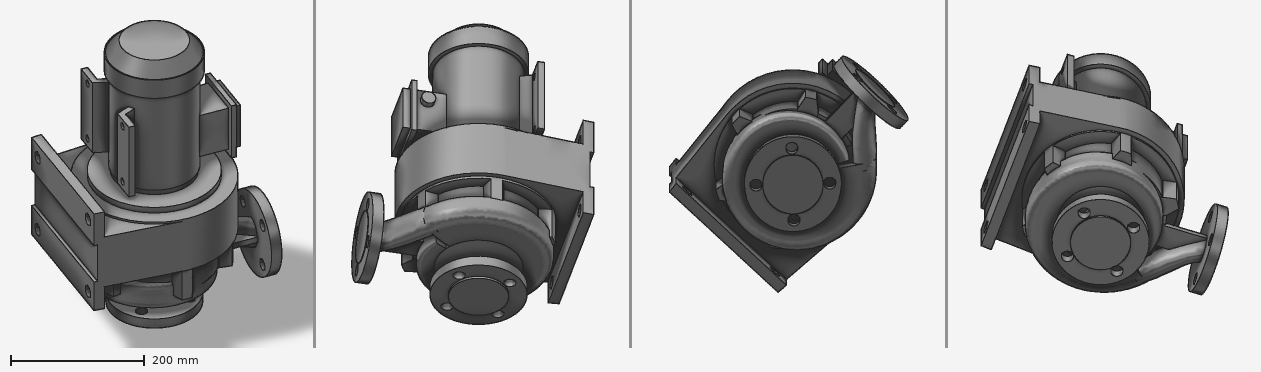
import cadquery as cq
import math

JOINT_Z = 230.5

MOTOR_FLANGE_RADIUS = 100.0
MOTOR_FLANGE_TOP = 240.5
NECK_RADIUS = 66.0
NECK_TOP = 250.0
BODY_RADIUS = 68.5
COWL_RADIUS = 75.0
COWL_BOTTOM = 420.5
COWL_TOP = 453.2
CONE_BASE_RADIUS = 73.0
CONE_TOP_RADIUS = 52.5
MOTOR_TOP = 474.5

FOOT_BOTTOM = 267.0
FOOT_TOP = 393.0
FOOT_OUTER_X = 85.5
FOOT_BACK_Y = -70.5
FOOT_FACE_Y = -81.0
FOOT_BEND_BACK_X = 51.5
FOOT_BEND_FACE_X = 45.0
FOOT_WEB_RUN = 16.5
FOOT_WEB_RISE = 38.0
FOOT_HOLE_RADIUS = 5.45
FOOT_HOLE_X = 62.5
FOOT_HOLE_LEVELS = (281.0, 380.5)

BOX_WIDTH = 73.0
BOX_END_Y = 125.0
BOX_BOTTOM = 270.5
BOX_TOP = 344.5
LID_OVERHANG = 10.0
LID_BACK_Y = 105.5
LID_THICKNESS = 8.0
GLAND_RADIUS = 10.7
GLAND_LENGTH = 10.0
GLAND_Y = 87.5
GLAND_Z = 326.0

HOUSING_RADIUS = 250.0 / 2
HOUSING_BOTTOM = 137.0
ADAPTER_RADIUS = 117.5
ADAPTER_BOTTOM = 133.0

BRACKET_TOP = 227.5
BRACKET_TANGENT_Y = -11.5
PLATE_BACK_Y = -134.0
RECESS_Y = -144.8
PLATE_FACE_Y = -150.5
PLATE_BOTTOM = 98.0
PLATE_TOP = 272.5
RECESS_BOTTOM = 149.5
RECESS_TOP = 215.0
PLATE_HOLE_RADIUS = 9.5
PLATE_HOLE_X = 90.0
PLATE_HOLE_LEVELS = (119.0, 249.0)

HUB_RADIUS = 98.2
RIB_COUNT = 6
RIB_TIP_WIDTH = 17.0
RIB_ROOT_WIDTH = 31.5
RIB_BOTTOM = 80.0

VOLUTE_BOTTOM = 55.5
VOLUTE_TOP = 106.0
VOLUTE_MID = (VOLUTE_BOTTOM + VOLUTE_TOP) / 2
VOLUTE_INNER_RADIUS = 57.0
VOLUTE_RADIUS_AT_X = 100.5
VOLUTE_GROWTH = 9.75
VOLUTE_CORNER_AT_X = 11.5
VOLUTE_CORNER_GROWTH = 4.0
VOLUTE_START = -120.0
VOLUTE_END = 234.0
VOLUTE_SECTIONS = 13

THROAT_RADIUS = 36.0
SUCTION_CONE_RADIUS = 66.5
SUCTION_CONE_END = (39.0, 42.5)
THROAT_TOP = 36.0
THROAT_BOTTOM = 28.0
SUCTION_FLANGE_RADIUS = 72.5
SUCTION_FLANGE_BOTTOM = 4.0
SUCTION_FLANGE_TOP = 20.5
SUCTION_FACE_RADIUS = 45.0
SUCTION_BOLT_RADIUS = 55.0

DISCHARGE_FACE_Y = 179.5
DISCHARGE_FLANGE_FRONT = 178.5
DISCHARGE_FLANGE_BACK = 161.5
DISCHARGE_FLANGE_RADIUS = 68.5
DISCHARGE_FACE_RADIUS = 40.0
DISCHARGE_BOLT_RADIUS = 50.0
PIPE_STATIONS = (
    (-70.5, 79.3, 45, 15.0),
    (-28.5, 125.0, 45, 16.5),
    (-14.0, 142.5, 55, 15.0),
    (-2.0, 163.5, 90, 20.5),
)
PIPE_HALF_HEIGHT = (VOLUTE_TOP - VOLUTE_BOTTOM) / 2
WEB_EDGE_X = 19.5
WEB_INNER_X = -16.5
WEB_ROOT_Y = 57.0
WEB_THICKNESS = 9.5

BOLT_COUNT = 4
BOLT_HOLE_RADIUS = 9.0


def cylinder(radius, bottom, top):
    """Upright cylinder on the shaft axis."""
    return cq.Workplane("XY").workplane(offset=bottom).circle(radius).extrude(top - bottom)


def block(x_range, y_range, z_range):
    """Box given by its limits along each axis."""
    size = [high - low for low, high in (x_range, y_range, z_range)]
    corner = (x_range[0], y_range[0], z_range[0])
    return cq.Workplane("XY").box(*size, centered=False).translate(corner)


def rod_along_y(radius, x, z, y_start, y_end):
    """Cylinder parallel to Y."""
    axis_start = cq.Vector(x, y_start, z)
    return cq.Workplane(cq.Solid.makeCylinder(radius, y_end - y_start, axis_start, cq.Vector(0, 1, 0)))


def motor_foot():
    """Bent foot on the +X side: a mounting pad and a slanted web rooted in the motor body."""
    outline = [
        (FOOT_OUTER_X, FOOT_FACE_Y),
        (FOOT_OUTER_X, FOOT_BACK_Y),
        (FOOT_BEND_BACK_X, FOOT_BACK_Y),
        (FOOT_BEND_BACK_X - FOOT_WEB_RUN, FOOT_BACK_Y + FOOT_WEB_RISE),
        (FOOT_BEND_FACE_X - FOOT_WEB_RUN, FOOT_FACE_Y + FOOT_WEB_RISE),
        (FOOT_BEND_FACE_X, FOOT_FACE_Y),
    ]
    foot = cq.Workplane("XY").workplane(offset=FOOT_BOTTOM).polyline(outline).close()
    foot = foot.extrude(FOOT_TOP - FOOT_BOTTOM)
    for level in FOOT_HOLE_LEVELS:
        foot = foot.cut(rod_along_y(FOOT_HOLE_RADIUS, FOOT_HOLE_X, level, FOOT_FACE_Y, FOOT_BACK_Y))
    return foot


def terminal_box():
    """Terminal box on the +Y side with its lid plate and a cable gland."""
    half = BOX_WIDTH / 2
    lid_half = half + LID_OVERHANG
    box = block((-half, half), (0, BOX_END_Y), (BOX_BOTTOM, BOX_TOP))
    lid = block(
        (-lid_half, lid_half),
        (LID_BACK_Y, LID_BACK_Y + LID_THICKNESS),
        (BOX_BOTTOM - LID_OVERHANG, BOX_TOP + LID_OVERHANG),
    )
    gland = cq.Workplane("YZ").workplane(offset=-half - GLAND_LENGTH).center(GLAND_Y, GLAND_Z)
    gland = gland.circle(GLAND_RADIUS).extrude(GLAND_LENGTH)
    return box.union(lid).union(gland)


def build_motor():
    half_profile = [
        (0, JOINT_Z),
        (MOTOR_FLANGE_RADIUS, JOINT_Z),
        (MOTOR_FLANGE_RADIUS, MOTOR_FLANGE_TOP),
        (NECK_RADIUS, MOTOR_FLANGE_TOP),
        (NECK_RADIUS, NECK_TOP),
        (BODY_RADIUS, NECK_TOP),
        (BODY_RADIUS, COWL_BOTTOM),
        (COWL_RADIUS, COWL_BOTTOM),
        (COWL_RADIUS, COWL_TOP),
        (CONE_BASE_RADIUS, COWL_TOP),
        (CONE_TOP_RADIUS, MOTOR_TOP),
        (0, MOTOR_TOP),
    ]
    motor = cq.Workplane("XZ").polyline(half_profile).close().revolve(360, (0, 0, 0), (0, 1, 0))
    foot = motor_foot()
    return motor.union(foot).union(foot.mirror("YZ")).union(terminal_box())


def mounting_bracket():
    """Block with sides tangent to the housing, ending in a recessed mounting plate with four holes."""
    tangent_x = math.sqrt(HOUSING_RADIUS**2 - BRACKET_TANGENT_Y**2)
    taper = -BRACKET_TANGENT_Y / tangent_x

    def half_width(y):
        return tangent_x - taper * (BRACKET_TANGENT_Y - y)

    def tapered_block(y_front, y_back, bottom, top):
        outline = [
            (-half_width(y_front), y_front),
            (half_width(y_front), y_front),
            (half_width(y_back), y_back),
            (-half_width(y_back), y_back),
        ]
        base = cq.Workplane("XY").workplane(offset=bottom)
        return base.polyline(outline).close().extrude(top - bottom)

    bracket = tapered_block(RECESS_Y, BRACKET_TANGENT_Y, HOUSING_BOTTOM, BRACKET_TOP)
    plate = tapered_block(PLATE_FACE_Y, PLATE_BACK_Y, PLATE_BOTTOM, PLATE_TOP)
    recess = block(
        (-HOUSING_RADIUS, HOUSING_RADIUS), (PLATE_FACE_Y, RECESS_Y), (RECESS_BOTTOM, RECESS_TOP)
    )
    plate = plate.cut(recess)
    for x in (-PLATE_HOLE_X, PLATE_HOLE_X):
        for level in PLATE_HOLE_LEVELS:
            plate = plate.cut(rod_along_y(PLATE_HOLE_RADIUS, x, level, PLATE_FACE_Y, PLATE_BACK_Y))
    return bracket.union(plate)


def lantern_ribs():
    """Tapered radial ribs that tie the volute to the adapter disc."""
    tip = RIB_TIP_WIDTH / 2
    root = RIB_ROOT_WIDTH / 2
    tip_x = math.sqrt(ADAPTER_RADIUS**2 - tip**2)
    rib = (
        cq.Workplane("XY")
        .workplane(offset=RIB_BOTTOM)
        .moveTo(0, -root)
        .lineTo(HUB_RADIUS, -root)
        .lineTo(tip_x, -tip)
        .threePointArc((ADAPTER_RADIUS, 0), (tip_x, tip))
        .lineTo(HUB_RADIUS, root)
        .lineTo(0, root)
        .close()
        .extrude(HOUSING_BOTTOM - RIB_BOTTOM)
    )
    ribs = rib
    for index in range(1, RIB_COUNT):
        ribs = ribs.union(rib.rotate((0, 0, 0), (0, 0, 1), index * 360 / RIB_COUNT))
    return ribs


def volute_section(clockwise_angle):
    """Closed section with a straight inner side and rounded outer corners, at one angle round the shaft."""
    quarters = clockwise_angle / 90
    outer = VOLUTE_RADIUS_AT_X + VOLUTE_GROWTH * quarters
    corner = VOLUTE_CORNER_AT_X + VOLUTE_CORNER_GROWTH * quarters
    inset = corner * (1 - math.sqrt(0.5))
    angle = math.radians(-clockwise_angle)
    plane = cq.Plane(
        origin=(0, 0, 0),
        xDir=(math.cos(angle), math.sin(angle), 0),
        normal=(math.sin(angle), -math.cos(angle), 0),
    )
    section = (
        cq.Workplane(plane)
        .moveTo(VOLUTE_INNER_RADIUS, VOLUTE_BOTTOM)
        .lineTo(outer - corner, VOLUTE_BOTTOM)
        .threePointArc((outer - inset, VOLUTE_BOTTOM + inset), (outer, VOLUTE_BOTTOM + corner))
        .lineTo(outer, VOLUTE_TOP - corner)
        .threePointArc((outer - inset, VOLUTE_TOP - inset), (outer - corner, VOLUTE_TOP))
        .lineTo(VOLUTE_INNER_RADIUS, VOLUTE_TOP)
        .close()
    )
    return section.val()


def volute():
    step = (VOLUTE_END - VOLUTE_START) / (VOLUTE_SECTIONS - 1)
    sections = [volute_section(VOLUTE_START + index * step) for index in range(VOLUTE_SECTIONS)]
    return cq.Workplane(cq.Solid.makeLoft(sections))


def bolt_holes(workplane, bolt_radius, depth):
    """Drills through a flange, staggered half a pitch from the flange axes."""
    return workplane.polarArray(bolt_radius, 45, 360, BOLT_COUNT).circle(BOLT_HOLE_RADIUS).extrude(depth)


def suction_branch():
    """Hub, cone, throat and suction flange as one turned shape."""
    bend = math.sqrt(0.5)
    flare = THROAT_BOTTOM - SUCTION_FLANGE_TOP
    flare_middle = (
        THROAT_RADIUS + flare * (1 - bend),
        SUCTION_FLANGE_TOP + flare * (1 - bend),
    )
    branch = (
        cq.Workplane("XZ")
        .moveTo(0, 0)
        .lineTo(SUCTION_FACE_RADIUS, 0)
        .lineTo(SUCTION_FACE_RADIUS, SUCTION_FLANGE_BOTTOM)
        .lineTo(SUCTION_FLANGE_RADIUS, SUCTION_FLANGE_BOTTOM)
        .lineTo(SUCTION_FLANGE_RADIUS, SUCTION_FLANGE_TOP)
        .lineTo(THROAT_RADIUS + flare, SUCTION_FLANGE_TOP)
        .threePointArc(flare_middle, (THROAT_RADIUS, THROAT_BOTTOM))
        .lineTo(THROAT_RADIUS, THROAT_TOP)
        .tangentArcPoint(SUCTION_CONE_END, relative=False)
        .lineTo(SUCTION_CONE_RADIUS, VOLUTE_BOTTOM)
        .lineTo(SUCTION_CONE_RADIUS, VOLUTE_MID)
        .lineTo(HUB_RADIUS, VOLUTE_MID)
        .lineTo(HUB_RADIUS, HOUSING_BOTTOM)
        .lineTo(0, HOUSING_BOTTOM)
        .close()
        .revolve(360, (0, 0, 0), (0, 1, 0))
    )
    base = cq.Workplane("XY").workplane(offset=SUCTION_FLANGE_BOTTOM)
    return branch.cut(bolt_holes(base, SUCTION_BOLT_RADIUS, SUCTION_FLANGE_TOP - SUCTION_FLANGE_BOTTOM))


def pipe_section(x, y, heading, half_width):
    """Upright oval across the pipe at one station."""
    angle = math.radians(heading)
    return cq.Wire.makeEllipse(
        PIPE_HALF_HEIGHT,
        half_width,
        center=cq.Vector(x, y, VOLUTE_MID),
        normal=cq.Vector(math.cos(angle), math.sin(angle), 0),
        xDir=cq.Vector(0, 0, 1),
    )


def discharge_branch():
    """Curved oval pipe from the volute to the discharge flange, stiffened by a flat web."""
    sections = [pipe_section(*station) for station in PIPE_STATIONS]
    pipe = cq.Workplane(cq.Solid.makeLoft(sections))
    flange = rod_along_y(
        DISCHARGE_FLANGE_RADIUS, 0, VOLUTE_MID, DISCHARGE_FLANGE_BACK, DISCHARGE_FLANGE_FRONT
    )
    raised_face = rod_along_y(
        DISCHARGE_FACE_RADIUS, 0, VOLUTE_MID, DISCHARGE_FLANGE_FRONT, DISCHARGE_FACE_Y
    )
    back = cq.Workplane("XZ", origin=(0, DISCHARGE_FLANGE_BACK, VOLUTE_MID))
    depth = DISCHARGE_FLANGE_FRONT - DISCHARGE_FLANGE_BACK
    flange = flange.cut(bolt_holes(back, DISCHARGE_BOLT_RADIUS, -depth))
    web = block(
        (WEB_INNER_X, WEB_EDGE_X),
        (WEB_ROOT_Y, DISCHARGE_FLANGE_BACK),
        (VOLUTE_MID - WEB_THICKNESS / 2, VOLUTE_MID + WEB_THICKNESS / 2),
    )
    return pipe.union(flange).union(raised_face).union(web)


def build_pump():
    housing = cylinder(HOUSING_RADIUS, HOUSING_BOTTOM, JOINT_Z)
    adapter = cylinder(ADAPTER_RADIUS, ADAPTER_BOTTOM, HOUSING_BOTTOM)
    pump = housing.union(adapter).union(mounting_bracket())
    pump = pump.union(suction_branch()).union(lantern_ribs())
    return pump.union(volute()).union(discharge_branch())


motor = build_motor()
pump = build_pump()

result = cq.Compound.makeCompound([motor.solids().val(), pump.solids().val()])